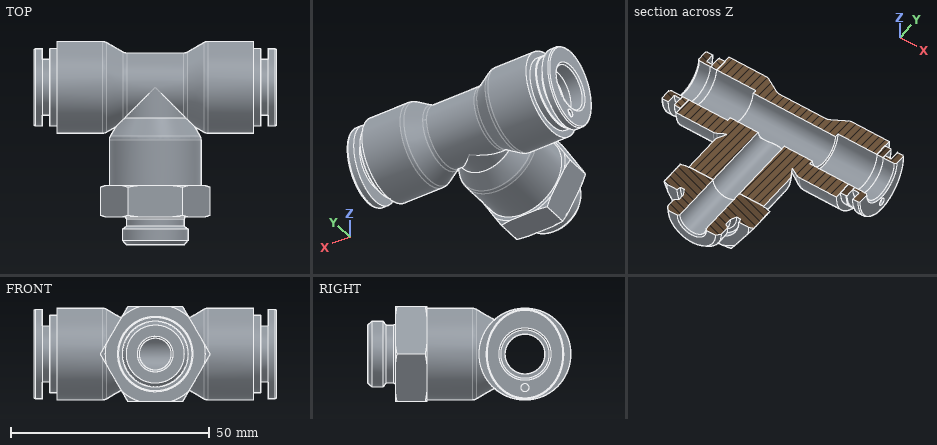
import cadquery as cq
import math


run_length = 61.2
depth = 51.3

port_dia = 23.2
run_half_length = run_length / 2
waist_dia = 17.4
run_port_end = 24.8
branch_port_end = 24.7
shoulder_corner = 12.7
shoulder_angle = 30.0
shoulder_fillet = 1.95
tube_bore_dia = 12.2
run_bore_dia = 10.0
shoulder_drop = (port_dia - waist_dia) / 2
waist_corner = shoulder_corner - shoulder_drop / math.tan(math.radians(shoulder_angle))

collar_dia = 19.6
collar_end = 26.7
collar_chamfer = 0.2

sleeve_neck_dia = 14.2
flange_width = 19.5
flange_height = 22.6
flange_thickness = 2.15
flange_chamfer_axial = 0.4
flange_chamfer_radial = 0.25
mouth_chamfer = 0.5
dimple_dia = 2.0
dimple_depth = 0.75
dimple_drop = 8.45

stem_tip = depth - port_dia / 2
stem_bore_dia = 8.0
stem_mouth_chamfer = 0.5
hex_across_flats = 24.0
hex_end = 32.7
hex_chamfer_dia = 25.2
hex_chamfer_length = 0.4
recess_rim_dia = 19.05
recess_floor_dia = 18.5
recess_depth = 1.1
thread_dia = 16.65
neck_dia = 14.6
root_dia = 16.3
neck_start = 33.2
neck_end = 35.0
thread_start = 35.75
thread_end = 38.55
hex_sides = 6
hex_corner_dia = hex_across_flats / math.cos(math.pi / hex_sides)


def x_cylinder(dia, start, end):
    """Cylinder on the X axis between two X positions."""
    return cq.Workplane("YZ").workplane(offset=start).circle(dia / 2).extrude(end - start)


def y_cylinder(dia, start, end):
    """Cylinder on the branch axis between two distances from the origin."""
    return cq.Workplane("XZ").workplane(offset=start).circle(dia / 2).extrude(end - start)


def y_revolve(profile):
    """Solid of revolution about the branch axis from (radius, distance) points."""
    points = [(radius, -distance) for radius, distance in profile]
    return cq.Workplane("XY").polyline(points).close().revolve(360, (0, 0), (0, 1))


def shouldered_arm(port_end):
    """Arm along the branch axis: waist, conical shoulder and full-size port."""
    return y_revolve([
        (0, 0),
        (waist_dia / 2, 0),
        (waist_dia / 2, waist_corner),
        (port_dia / 2, shoulder_corner),
        (port_dia / 2, port_end),
        (0, port_end),
    ])


def shoulder_edges(arm, start, end):
    """Circular edges of an arm between two distances from the origin."""
    half_width = port_dia / 2
    box = cq.selectors.BoxSelector((-half_width, -end, -half_width), (half_width, -start, half_width))
    return arm.edges("%CIRCLE").edges(box)


def make_housing():
    margin = 0.6
    past_shoulder = shoulder_corner + margin
    run_arm = shouldered_arm(run_port_end)
    run_arm = shoulder_edges(run_arm, waist_corner - margin, past_shoulder).fillet(shoulder_fillet)
    branch_arm = shouldered_arm(branch_port_end)
    branch_arm = shoulder_edges(branch_arm, waist_corner + margin, past_shoulder).fillet(shoulder_fillet)

    left_arm = run_arm.rotate((0, 0, 0), (0, 0, 1), -90)
    right_arm = run_arm.rotate((0, 0, 0), (0, 0, 1), 90)
    body = left_arm.union(right_arm).union(branch_arm)

    body = body.cut(x_cylinder(run_bore_dia, -run_port_end, run_port_end))
    body = body.cut(x_cylinder(tube_bore_dia, -run_port_end, -shoulder_corner))
    body = body.cut(x_cylinder(tube_bore_dia, shoulder_corner, run_port_end))
    return body.cut(y_cylinder(stem_bore_dia, 0, branch_port_end))


def make_collar():
    """Collar on the +X port."""
    collar = x_cylinder(collar_dia, run_port_end, collar_end)
    collar = collar.faces(">X").edges().chamfer(collar_chamfer)
    return collar.cut(x_cylinder(tube_bore_dia, run_port_end, collar_end))


def make_sleeve():
    """Release sleeve on the +X port, with an elliptical flange."""
    flange_start = run_half_length - flange_thickness
    flange = (
        cq.Workplane("YZ").workplane(offset=flange_start)
        .ellipse(flange_width / 2, flange_height / 2).extrude(flange_thickness)
    )
    flange = flange.faces(">X").edges().chamfer(flange_chamfer_axial, flange_chamfer_radial)
    sleeve = flange.union(x_cylinder(sleeve_neck_dia, collar_end, flange_start))
    sleeve = sleeve.cut(x_cylinder(tube_bore_dia, collar_end, run_half_length))
    sleeve = sleeve.faces(">X").edges("%CIRCLE").chamfer(mouth_chamfer)

    dimple = x_cylinder(dimple_dia, run_half_length - dimple_depth, run_half_length)
    return sleeve.cut(dimple.translate((0, 0, -dimple_drop)))


def make_stem():
    hexagon = (
        cq.Workplane("XZ").workplane(offset=branch_port_end)
        .polygon(hex_sides, hex_corner_dia).extrude(hex_end - branch_port_end)
    )
    hexagon = hexagon.intersect(y_revolve([
        (0, branch_port_end),
        (hex_chamfer_dia / 2, branch_port_end),
        (hex_corner_dia / 2, branch_port_end + hex_chamfer_length),
        (hex_corner_dia / 2, hex_end - hex_chamfer_length),
        (hex_chamfer_dia / 2, hex_end),
        (0, hex_end),
    ]))

    recess_floor = hex_end - recess_depth
    hexagon = hexagon.cut(y_revolve([
        (0, recess_floor),
        (recess_floor_dia / 2, recess_floor),
        (recess_rim_dia / 2, hex_end),
        (0, hex_end),
    ]))

    spigot = y_revolve([
        (0, recess_floor),
        (root_dia / 2, recess_floor),
        (neck_dia / 2, neck_start),
        (neck_dia / 2, neck_end),
        (thread_dia / 2, thread_start),
        (thread_dia / 2, thread_end),
        (neck_dia / 2, stem_tip),
        (0, stem_tip),
    ])
    stem = hexagon.union(spigot)
    stem = stem.cut(y_cylinder(stem_bore_dia, branch_port_end, stem_tip))
    mouth_edge = stem.faces("<Y").edges(cq.selectors.RadiusNthSelector(0))
    return mouth_edge.chamfer(stem_mouth_chamfer)


def on_both_ports(part):
    """One copy on the +X port and one mirrored onto the -X port."""
    return [part.solids().val(), part.mirror("YZ").solids().val()]


housing = make_housing()
stem = make_stem()
collars = on_both_ports(make_collar())
sleeves = on_both_ports(make_sleeve())

result = cq.Compound.makeCompound([housing.solids().val(), stem.solids().val(), *collars, *sleeves])